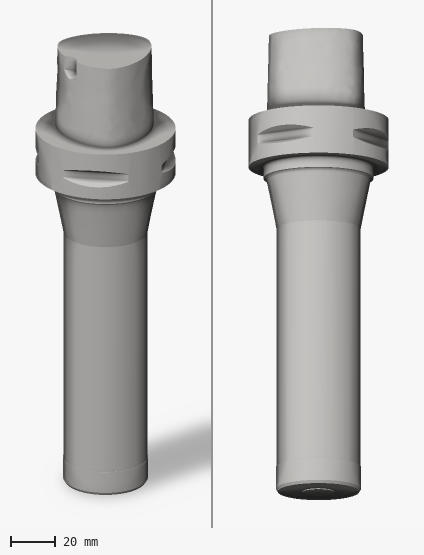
import cadquery as cq
import math

TAPER_TOP = 38.0
TAPER_FOOT = 3.0
FLANGE_HEIGHT = 21.7
TOTAL_LENGTH = 209.0
BOTTOM = TAPER_TOP - TOTAL_LENGTH
COLLAR_END = -26.8
NECK_END = -50.0
CAP_TOP = -159.3

FLANGE_DIAMETER = 63.0
COLLAR_DIAMETER = 49.5
NECK_DIAMETER = 46.5
BAR_DIAMETER = 37.8

FLANGE_CORNER_RADIUS = 0.6
NECK_CORNER_RADIUS = (COLLAR_DIAMETER - NECK_DIAMETER) / 2

SHANK_WIDTH = 44.0
LOBE_OFFSET = 1.5
TAPER_RATIO = 1 / 20
SHANK_TIP_WIDTH = SHANK_WIDTH - TAPER_RATIO * (TAPER_TOP - TAPER_FOOT)
PROFILE_POINTS = 48

NOTCH_RADIUS = 5.9
NOTCH_CENTER_Y = -22.95
NOTCH_WALL_DEPTH = 6.6
NOTCH_POINT_HEIGHT = NOTCH_RADIUS

GROOVE_COUNT = 4
GROOVE_FIRST_ANGLE = 45
GROOVE_CENTER_Z = -12.0
GROOVE_FLOOR_DISTANCE = 27.75
GROOVE_FLOOR_HEIGHT = 3.6
GROOVE_FLANK_ANGLE = 30
GROOVE_CORNER_RADIUS = 0.7

CAP_DIAMETER = 38.2
CAP_CHAMFER_HEIGHT = 1.3
CAP_CHAMFER_WIDTH = 0.8
CAP_CENTER_DIAMETER = 14.5
CAP_CENTER_HEIGHT = 0.4


def lobed_profile(width, z):
    """Closed three-lobed outline of constant width, one lobe pointing to +Y."""

    def point(angle):
        along = width / 2 * math.cos(angle) + LOBE_OFFSET * (2 * math.cos(2 * angle) - math.cos(4 * angle))
        across = width / 2 * math.sin(angle) - LOBE_OFFSET * (2 * math.sin(2 * angle) + math.sin(4 * angle))
        return cq.Vector(-across, along, z)

    points = [point(2 * math.pi * index / PROFILE_POINTS) for index in range(PROFILE_POINTS)]
    return cq.Wire.assembleEdges([cq.Edge.makeSpline(points, periodic=True)])


def lobed_shank():
    """Straight lobed foot on the flange with the tapered lobed shank above it."""
    base_wire = lobed_profile(SHANK_WIDTH, 0)
    shoulder_wire = lobed_profile(SHANK_WIDTH, TAPER_FOOT)
    tip_wire = lobed_profile(SHANK_TIP_WIDTH, TAPER_TOP)
    foot = cq.Solid.makeLoft([base_wire, shoulder_wire], True)
    taper = cq.Solid.makeLoft([shoulder_wire, tip_wire], True)
    return cq.Workplane(foot).union(cq.Workplane(taper))


def drilled_notch():
    """Vertical drill shape with a conical point, open at the shank tip."""
    wall_end = TAPER_TOP - NOTCH_WALL_DEPTH
    return (
        cq.Workplane("XZ")
        .moveTo(0, TAPER_TOP)
        .lineTo(NOTCH_RADIUS, TAPER_TOP)
        .lineTo(NOTCH_RADIUS, wall_end)
        .lineTo(0, wall_end - NOTCH_POINT_HEIGHT)
        .close()
        .revolve(360, (0, 0, 0), (0, 1, 0))
        .translate((0, NOTCH_CENTER_Y, 0))
    )


def gripper_groove(angle):
    """Straight groove with a flat floor and sloping flanks, cut across the flange rim."""
    outer_distance = FLANGE_DIAMETER / 2
    floor_half = GROOVE_FLOOR_HEIGHT / 2
    flank_rise = (outer_distance - GROOVE_FLOOR_DISTANCE) * math.tan(math.radians(GROOVE_FLANK_ANGLE))
    mouth_half = floor_half + flank_rise
    return (
        cq.Workplane("XZ")
        .polyline([
            (GROOVE_FLOOR_DISTANCE, GROOVE_CENTER_Z - floor_half),
            (outer_distance, GROOVE_CENTER_Z - mouth_half),
            (outer_distance, GROOVE_CENTER_Z + mouth_half),
            (GROOVE_FLOOR_DISTANCE, GROOVE_CENTER_Z + floor_half),
        ])
        .close()
        .extrude(FLANGE_DIAMETER / 2, both=True)
        .edges("|Y and <X")
        .fillet(GROOVE_CORNER_RADIUS)
        .rotate((0, 0, 0), (0, 0, 1), angle)
    )


def make_holder():
    """Tool holder: lobed shank, grooved flange, collar, conical neck and bar."""
    flange_radius = FLANGE_DIAMETER / 2
    collar_radius = COLLAR_DIAMETER / 2
    neck_radius = NECK_DIAMETER / 2
    bar_radius = BAR_DIAMETER / 2
    holder = (
        cq.Workplane("XZ")
        .lineTo(flange_radius, 0)
        .lineTo(flange_radius, -FLANGE_HEIGHT)
        .lineTo(collar_radius + FLANGE_CORNER_RADIUS, -FLANGE_HEIGHT)
        .radiusArc((collar_radius, -FLANGE_HEIGHT - FLANGE_CORNER_RADIUS), -FLANGE_CORNER_RADIUS)
        .lineTo(collar_radius, COLLAR_END)
        .radiusArc((neck_radius, COLLAR_END - NECK_CORNER_RADIUS), -NECK_CORNER_RADIUS)
        .lineTo(bar_radius, NECK_END)
        .lineTo(bar_radius, CAP_TOP)
        .lineTo(0, CAP_TOP)
        .close()
        .revolve(360, (0, 0, 0), (0, 1, 0))
    )
    holder = holder.union(lobed_shank()).cut(drilled_notch())
    for index in range(GROOVE_COUNT):
        holder = holder.cut(gripper_groove(GROOVE_FIRST_ANGLE + index * 360 / GROOVE_COUNT))
    return holder


def make_end_cap():
    """Cap on the end of the bar, with a chamfered rim and a low round center."""
    rim_radius = CAP_DIAMETER / 2
    face = BOTTOM + CAP_CENTER_HEIGHT
    outline = [
        (0, CAP_TOP),
        (rim_radius, CAP_TOP),
        (rim_radius, face + CAP_CHAMFER_HEIGHT),
        (rim_radius - CAP_CHAMFER_WIDTH, face),
        (CAP_CENTER_DIAMETER / 2, face),
        (CAP_CENTER_DIAMETER / 2, BOTTOM),
        (0, BOTTOM),
    ]
    return cq.Workplane("XZ").polyline(outline).close().revolve(360, (0, 0, 0), (0, 1, 0))


holder = make_holder()
end_cap = make_end_cap()

result = cq.Compound.makeCompound([holder.solids().val(), end_cap.solids().val()])